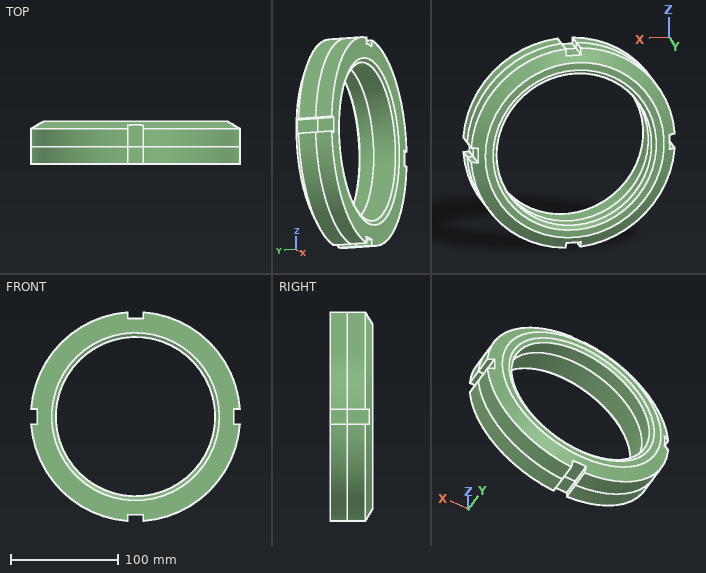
import cadquery as cq
import math

outer_radius = 195 / 2
bore_radius = 148 / 2
total_width = 40.0

mouth_chamfer_depth = 4.0
mouth_chamfer_angle = math.radians(30.0)
mouth_chamfer_width = mouth_chamfer_depth * math.tan(mouth_chamfer_angle)
mouth_radius = bore_radius + mouth_chamfer_depth

rim_chamfer_width = 7.0
rim_chamfer_angle = math.radians(30.0)
rim_chamfer_depth = rim_chamfer_width / math.tan(rim_chamfer_angle)

rim_joint = 16.0
bore_joint = 24.0
spigot_radius = (bore_radius + outer_radius) / 2

slot_count = 4
slot_width = 14.0
slot_depth = 6.0


def revolve_section(points):
    """Turn a (radius, Y) half section into a ring around the Y axis."""
    return cq.Workplane("XY").polyline(points).close().revolve(360, (0, 0, 0), (0, 1, 0))


def cut_wrench_slots(ring):
    """Cut the slots evenly around the rim, through the full width."""
    slot_floor = outer_radius - slot_depth
    slot = (
        cq.Workplane("XY")
        .box(2 * slot_depth, total_width, slot_width, centered=(False, False, True))
        .translate((slot_floor, 0, 0))
    )
    for index in range(slot_count):
        turn = index * 360 / slot_count
        ring = ring.cut(slot.rotate((0, 0, 0), (0, 1, 0), turn))
    return ring


def make_front_ring():
    """Front ring with the spigot that reaches into the back ring."""
    ring = revolve_section([
        (mouth_radius, 0),
        (outer_radius, 0),
        (outer_radius, rim_joint),
        (spigot_radius, rim_joint),
        (spigot_radius, bore_joint),
        (bore_radius, bore_joint),
        (bore_radius, mouth_chamfer_width),
    ])
    return cut_wrench_slots(ring)


def make_back_ring():
    """Back ring with the recess for the spigot and the chamfered rim."""
    ring = revolve_section([
        (spigot_radius, rim_joint),
        (outer_radius, rim_joint),
        (outer_radius, total_width - rim_chamfer_width),
        (outer_radius - rim_chamfer_depth, total_width),
        (mouth_radius, total_width),
        (bore_radius, total_width - mouth_chamfer_width),
        (bore_radius, bore_joint),
        (spigot_radius, bore_joint),
    ])
    return cut_wrench_slots(ring)


front_ring = make_front_ring()
back_ring = make_back_ring()

result = cq.Compound.makeCompound([front_ring.val(), back_ring.val()])